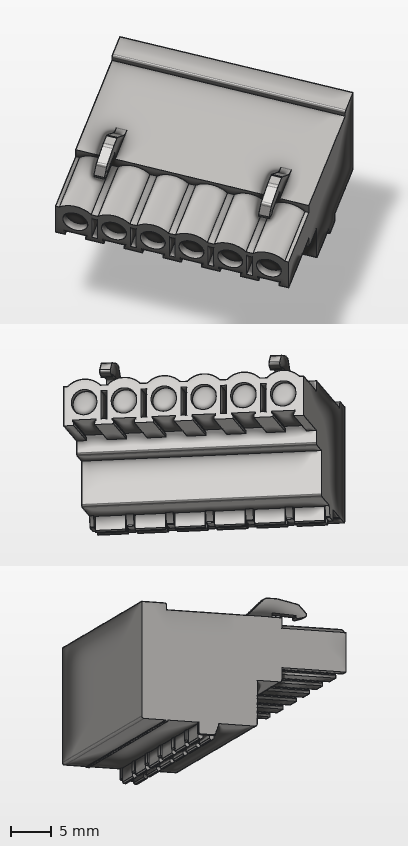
import cadquery as cq
import math


overlap = 0.3

length = 30.1
depth = 26.6
height = 19.0

pole_count = 6
pole_pitch = 5.0
pole_positions = [(i - (pole_count - 1) / 2) * pole_pitch for i in range(pole_count)]
gap_positions = [x + pole_pitch / 2 for x in pole_positions[:-1]]
row_end = pole_count * pole_pitch / 2
boundary_positions = [-row_end] + gap_positions + [row_end]

body_bottom = 1.95
body_top = 15.83
body_front = 8.35
lower_front = 11.55
step_bottom = 7.75
back_rib_front = 23.35
back_rib_top = 16.68
edge_radius = 0.3

nose_bottom = 9.55
nose_shoulder = 14.5
barrel_center_height = 12.43
barrel_radius = 2.92
hole_radius = 1.6
hole_depth = 1.1

slot_width = 0.72
slot_bottom = 10.23
slot_top = 13.8
slot_depth = 3.0

groove_top_width = 2.95
groove_mouth_width = 2.62
groove_top = slot_bottom
groove_lip_height = 0.35
groove_flank_height = 0.18

hook_offset = 10.63
hook_width = 1.35
hook_root_back = 13.18
hook_ramp_angle = 45.0
hook_root_tangent = 0.78

hook_ramp_end = (9.3, 18.9)
hook_crest_back = (9.1, height)
hook_crest_front = (7.85, height)
hook_slope_start = (7.4, 18.93)
hook_slope_end = (5.12, 18.48)
hook_nose_start = (4.75, 18.27)
hook_nose_end = (3.88, 17.37)
hook_tip = (3.85, 17.15)
hook_tip_under = (4.1, 16.92)
hook_barb_front = (4.82, 16.7)
hook_barb_low = (5.1, 16.68)
hook_barb_back = (5.25, 16.83)
hook_underside_front = (5.25, 17.05)
hook_underside_back = (8.13, 17.15)
hook_throat_mid = (8.28, 17.13)
hook_throat_end = (body_front, 16.98)

foot_width = 0.93
foot_bottom = 0.5
foot_back = 19.15
foot_front = 16.52
foot_tip_front = 17.0
foot_bevel = 0.15

blade_width = 3.8
blade_back = 19.02
blade_front = 16.98
blade_thickness = 0.6
blade_bevel = 0.18

ridge_back = 23.5
ridge_width = 0.33
ridge_height = 0.12


def extrude_along_x(outline, center_x, width):
    """Extrude a closed YZ outline, centred on center_x."""
    return outline.close().extrude(width / 2, both=True).translate((center_x, 0, 0))


def block(x_center, width, y_front, y_back, z_bottom, z_top):
    """Rectangular block between the given Y and Z limits."""
    size_y = y_back - y_front
    size_z = z_top - z_bottom
    corner_box = cq.Workplane("XY").box(width, size_y, size_z, centered=(True, False, False))
    return corner_box.translate((x_center, y_front, z_bottom))


def make_housing():
    outline = cq.Workplane("YZ").polyline([
        (depth, body_bottom),
        (depth, back_rib_top),
        (back_rib_front, back_rib_top),
        (back_rib_front, body_top),
        (body_front, body_top),
        (body_front, step_bottom),
        (lower_front, step_bottom),
        (lower_front, body_bottom),
    ])
    housing = extrude_along_x(outline, 0, length)
    rounded_corners = [
        (depth, body_bottom),
        (back_rib_front, back_rib_top),
        (body_front, step_bottom),
        (lower_front, body_bottom),
    ]
    reach = 0.03
    for y, z in rounded_corners:
        corner = cq.selectors.BoxSelector(
            (-length, y - reach, z - reach), (length, y + reach, z + reach))
        housing = housing.edges("|X").edges(corner).fillet(edge_radius)
    return housing


def make_nose():
    nose_back = body_front + overlap
    nose = block(0, length, 0, nose_back, nose_bottom, nose_shoulder)
    for x in pole_positions:
        barrel = cq.Workplane("XZ").center(x, barrel_center_height).circle(barrel_radius).extrude(-nose_back)
        crown = block(x, pole_pitch, 0, nose_back, barrel_center_height, height)
        nose = nose.union(barrel.intersect(crown))
    return nose


def make_groove(x):
    half_top = groove_top_width / 2
    half_mouth = groove_mouth_width / 2
    lip_top = nose_bottom + groove_lip_height
    flank_top = lip_top + groove_flank_height
    right_side = [
        (half_mouth, nose_bottom),
        (half_mouth, lip_top),
        (half_top, flank_top),
        (half_top, groove_top),
    ]
    left_side = [(-px, pz) for px, pz in reversed(right_side)]
    outline = cq.Workplane("XZ").polyline(right_side + left_side).close()
    return outline.extrude(-body_front).translate((x, 0, 0))


def make_hook(x):
    ramp_rad = math.radians(hook_ramp_angle)
    half_rad = ramp_rad / 2
    root_radius = hook_root_tangent / math.tan(half_rad)
    root_mid = (hook_root_back - root_radius * math.sin(half_rad),
                body_top + root_radius * (1 - math.cos(half_rad)))
    root_end = (hook_root_back - root_radius * math.sin(ramp_rad),
                body_top + root_radius * (1 - math.cos(ramp_rad)))
    outline = (
        cq.Workplane("YZ")
        .moveTo(hook_root_back, body_top - overlap)
        .lineTo(hook_root_back, body_top)
        .threePointArc(root_mid, root_end)
        .lineTo(*hook_ramp_end)
        .lineTo(*hook_crest_back)
        .lineTo(*hook_crest_front)
        .tangentArcPoint(hook_slope_start, relative=False)
        .lineTo(*hook_slope_end)
        .tangentArcPoint(hook_nose_start, relative=False)
        .lineTo(*hook_nose_end)
        .threePointArc(hook_tip, hook_tip_under)
        .lineTo(*hook_barb_front)
        .threePointArc(hook_barb_low, hook_barb_back)
        .lineTo(*hook_underside_front)
        .lineTo(*hook_underside_back)
        .threePointArc(hook_throat_mid, hook_throat_end)
        .lineTo(body_front, body_top - overlap)
    )
    return extrude_along_x(outline, x, hook_width)


def make_foot(x):
    outline = cq.Workplane("YZ").polyline([
        (foot_front, body_bottom + overlap),
        (foot_front, body_bottom),
        (foot_tip_front, foot_bottom + foot_bevel),
        (foot_tip_front, foot_bottom),
        (foot_back - foot_bevel, foot_bottom),
        (foot_back, foot_bottom + foot_bevel),
        (foot_back, body_bottom + overlap),
    ])
    return extrude_along_x(outline, x, foot_width)


def make_blade(x, y_front):
    blade = block(x, blade_width, y_front, y_front + blade_thickness, 0, body_bottom + overlap)
    return blade.faces("<Z").edges("|X").chamfer(blade_bevel)


def make_ridge():
    ridge_front = ridge_back - ridge_width
    return block(0, length, ridge_front, ridge_back, body_bottom - ridge_height, body_bottom + overlap)


def make_wire_hole(x):
    return cq.Workplane("XZ").center(x, barrel_center_height).circle(hole_radius).extrude(-hole_depth)


result = make_housing().union(make_nose()).union(make_ridge())

for x in boundary_positions:
    result = result.union(make_foot(x))
result = result.intersect(block(0, length, 0, depth, 0, height))

for x in pole_positions:
    result = result.union(make_blade(x, blade_front))
    result = result.union(make_blade(x, blade_back - blade_thickness))
    result = result.cut(make_wire_hole(x))
    result = result.cut(make_groove(x))

for x in gap_positions:
    result = result.cut(block(x, slot_width, 0, slot_depth, slot_bottom, slot_top))

for x in (-hook_offset, hook_offset):
    result = result.union(make_hook(x))